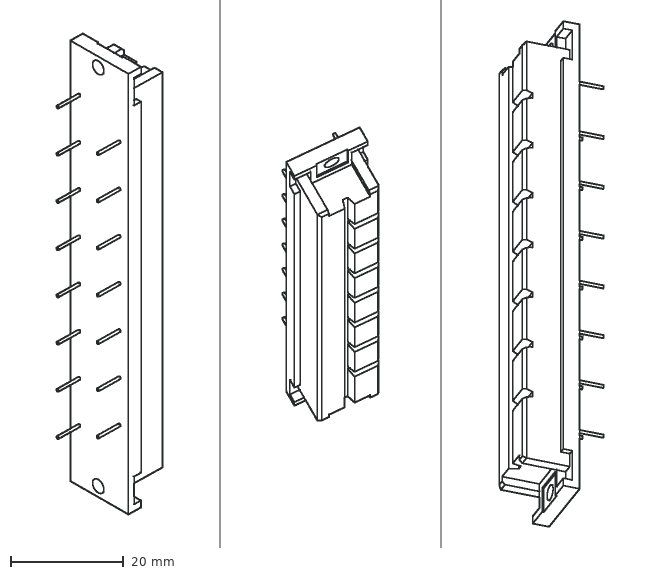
import cadquery as cq

overall_depth = 15.6

flange_width = 14.7
flange_length = 94.75
flange_depth = 3.1

body_width = 12.3
body_length = 85.0
body_depth = 7.1
body_chamfer = 0.6
body_top = flange_depth + body_depth

end_recess_width = 8.2
end_recess_length = 1.5

hole_diameter = 2.8
hole_spacing = 90.0
hole_x = -0.3
seat_width = 6.3
seat_depth = 0.3

pocket_end_gap = 1.5
pocket_length = 6.0
pocket_depth = 1.7
pocket_reach = (flange_width - end_recess_width) / 2

pin_diameter = 0.6
pin_length = overall_depth - body_top
pin_count = 15
pin_row_span = 71.1
pin_pitch = pin_row_span / (pin_count - 1)
pin_column_spacing = 10.1
pin_centre_z = 1.2

groove_depth = 1.7
groove_mouth_width = 2.0
groove_floor_width = 0.95


def block(x_min, x_max, y_min, y_max, z_min, z_max):
    """Box given by its limits along each axis."""
    size = (x_max - x_min, y_max - y_min, z_max - z_min)
    return cq.Workplane("XY").box(*size, centered=False).translate((x_min, y_min, z_min))


def centred_block(width, y_min, y_max, length):
    """Box centred on X and Z."""
    return block(-width / 2, width / 2, y_min, y_max, -length / 2, length / 2)


def groove_bar(length):
    """Bar with the groove section, open to the mating face and extruded along +Z from Z = 0."""
    floor_y = body_top - groove_depth
    outline = [
        (-groove_mouth_width / 2, body_top),
        (-groove_floor_width / 2, floor_y),
        (groove_floor_width / 2, floor_y),
        (groove_mouth_width / 2, body_top),
    ]
    return cq.Workplane("XY").polyline(outline).close().extrude(length)


def pin_z(index):
    """Height of a pin, counted from the lowest."""
    return pin_centre_z - pin_row_span / 2 + index * pin_pitch


def make_flange():
    flange = centred_block(flange_width, 0, flange_depth, flange_length)
    half_width = flange_width / 2
    half_length = flange_length / 2
    pocket_floor = flange_depth - pocket_depth
    pocket_top = half_length - pocket_end_gap
    pocket = block(
        half_width - pocket_reach, half_width,
        pocket_floor, flange_depth,
        pocket_top - pocket_length, pocket_top,
    )
    seat = block(
        hole_x - seat_width / 2, hole_x + seat_width / 2,
        flange_depth - seat_depth, flange_depth,
        body_length / 2, half_length,
    )
    pocket_pair = pocket.union(pocket.mirror("YZ"))
    for cutter in (pocket_pair, seat):
        flange = flange.cut(cutter).cut(cutter.mirror("XY"))
    return flange


def make_body():
    body = centred_block(body_width, flange_depth - pocket_depth, body_top, body_length)
    body = body.faces(">Y").edges().chamfer(body_chamfer)
    for side in (-1, 1):
        recess = centred_block(end_recess_width, flange_depth, body_top, 2 * end_recess_length)
        body = body.cut(recess.translate((0, 0, side * body_length / 2)))
    return body


def cut_grooves(part):
    part = part.cut(groove_bar(body_length).translate((0, 0, -body_length / 2)))
    notch = groove_bar(body_width / 2).rotate((0, 0, 0), (0, 1, 0), -90)
    for index in range(1, pin_count, 2):
        part = part.cut(notch.translate((0, 0, pin_z(index))))
    return part


def cut_mounting_holes(part):
    for side in (-1, 1):
        hole = (
            cq.Workplane("XZ")
            .center(hole_x, side * hole_spacing / 2)
            .circle(hole_diameter / 2)
            .extrude(-flange_depth)
        )
        part = part.cut(hole)
    return part


def make_pins():
    points = []
    for index in range(pin_count):
        side = -1 if index % 2 == 0 else 1
        points.append((side * pin_column_spacing / 2, pin_z(index)))
    root_y = flange_depth / 2
    return (
        cq.Workplane("XZ", origin=(0, root_y, 0))
        .pushPoints(points)
        .circle(pin_diameter / 2)
        .extrude(root_y + pin_length)
    )


connector = make_flange().union(make_body())
connector = cut_grooves(connector)
connector = cut_mounting_holes(connector)
result = connector.union(make_pins())